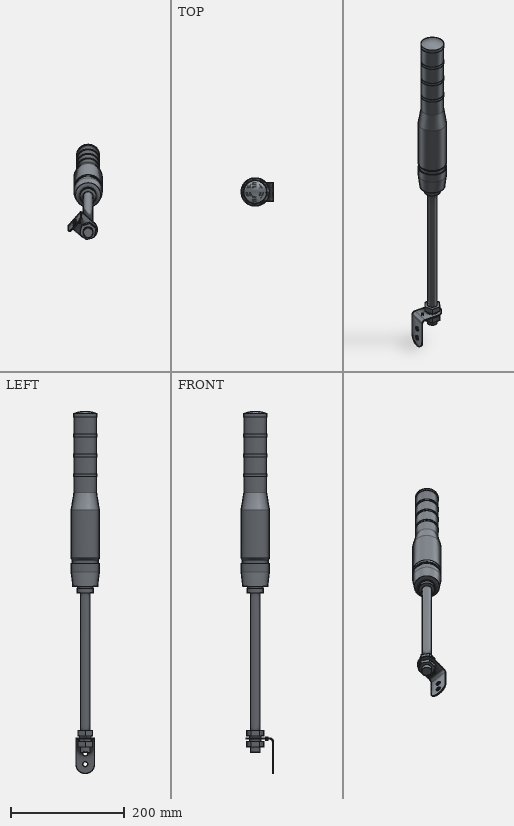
import cadquery as cq
import math

TOTAL_HEIGHT = 637.2

LENS_RADIUS = 20.0
RING_RADIUS = 20.3
DOME_HEIGHT = 4.0
CAP_RING_HEIGHT = 6.0
LENS_HEIGHT = 30.0
LENS_RING_HEIGHT = 5.0
LENS_RING_COUNT = 3
STACK_HEIGHT = 142.8
STACK_BOTTOM = TOTAL_HEIGHT - STACK_HEIGHT

BODY_RADIUS = 25.0
SHOULDER_HEIGHT = 30.6
BODY_HEIGHT = 84.4
GROOVE_RADIUS = 23.2
GROOVE_CHAMFER_HEIGHT = 3.3
GROOVE_HEIGHT = 6.4
SKIRT_HEIGHT = 15.3
TAPER_HEIGHT = 25.0
TAPER_BOTTOM_RADIUS = 22.0

COLLAR_RADIUS = 14.3
COLLAR_NECK_RADIUS = 14.0
COLLAR_NECK_HEIGHT = 4.0
COLLAR_HEIGHT = 11.5
POLE_RADIUS = 8.5
POLE_BOTTOM = 37.5

PLATE_THICKNESS = 2.0
PLATE_WIDTH = 33.0
PLATE_MIDDLE = 61.5
LEG_OUTER_X = 32.0
BEND_OUTER_RADIUS = 6.5
MOUNT_HOLE_DIAMETER = 8.5
MOUNT_HOLE_PITCH = 19.0

NUT_ACROSS_FLATS = 26.0
NUT_HEIGHT = 9.5
NUT_GAP = 10.0
BUSHING_RADIUS = 10.5

PIN_X = 20.3
PIN_RADIUS = 2.0
PIN_LENGTH = 5.8


def cylinder(radius, bottom, top):
    return cq.Workplane("XY").workplane(offset=bottom).circle(radius).extrude(top - bottom)


def make_lens_stack():
    dome_base = TOTAL_HEIGHT - DOME_HEIGHT
    dome_radius = (RING_RADIUS**2 + DOME_HEIGHT**2) / (2 * DOME_HEIGHT)
    half_angle = math.asin(RING_RADIUS / dome_radius) / 2
    dome_middle = (
        dome_radius * math.sin(half_angle),
        TOTAL_HEIGHT - dome_radius * (1 - math.cos(half_angle)),
    )
    cap_bottom = dome_base - CAP_RING_HEIGHT
    cap = (
        cq.Workplane("XZ")
        .moveTo(0, cap_bottom)
        .lineTo(RING_RADIUS, cap_bottom)
        .lineTo(RING_RADIUS, dome_base)
        .threePointArc(dome_middle, (0, TOTAL_HEIGHT))
        .close()
        .revolve(360, (0, 0, 0), (0, 1, 0))
    )
    stack = cap.union(cylinder(LENS_RADIUS, STACK_BOTTOM, cap_bottom))
    for index in range(LENS_RING_COUNT):
        ring_top = cap_bottom - LENS_HEIGHT - index * (LENS_HEIGHT + LENS_RING_HEIGHT)
        stack = stack.union(cylinder(RING_RADIUS, ring_top - LENS_RING_HEIGHT, ring_top))
    return stack


def make_housing():
    body_top = STACK_BOTTOM - SHOULDER_HEIGHT
    groove_top = body_top - BODY_HEIGHT
    chamfer_bottom = groove_top - GROOVE_CHAMFER_HEIGHT
    skirt_top = chamfer_bottom - GROOVE_HEIGHT
    taper_top = skirt_top - SKIRT_HEIGHT
    taper_bottom = taper_top - TAPER_HEIGHT
    neck_bottom = taper_bottom - COLLAR_NECK_HEIGHT
    collar_bottom = taper_bottom - COLLAR_HEIGHT
    return (
        cq.Workplane("XZ")
        .moveTo(0, STACK_BOTTOM)
        .lineTo(LENS_RADIUS, STACK_BOTTOM)
        .lineTo(BODY_RADIUS, body_top)
        .lineTo(BODY_RADIUS, groove_top)
        .lineTo(GROOVE_RADIUS, chamfer_bottom)
        .lineTo(GROOVE_RADIUS, skirt_top)
        .lineTo(BODY_RADIUS, skirt_top)
        .lineTo(BODY_RADIUS, taper_top)
        .lineTo(TAPER_BOTTOM_RADIUS, taper_bottom)
        .lineTo(COLLAR_NECK_RADIUS, taper_bottom)
        .lineTo(COLLAR_NECK_RADIUS, neck_bottom)
        .lineTo(COLLAR_RADIUS, neck_bottom)
        .lineTo(COLLAR_RADIUS, collar_bottom)
        .lineTo(0, collar_bottom)
        .close()
        .revolve(360, (0, 0, 0), (0, 1, 0))
    )


def make_bracket():
    end_radius = PLATE_WIDTH / 2
    plate_bottom = PLATE_MIDDLE - PLATE_THICKNESS / 2
    plate_top = PLATE_MIDDLE + PLATE_THICKNESS / 2
    leg_inner_x = LEG_OUTER_X - PLATE_THICKNESS
    plate = (
        cq.Workplane("XY")
        .workplane(offset=plate_bottom)
        .moveTo(LEG_OUTER_X, -end_radius)
        .lineTo(0, -end_radius)
        .threePointArc((-end_radius, 0), (0, end_radius))
        .lineTo(LEG_OUTER_X, end_radius)
        .close()
        .extrude(PLATE_THICKNESS)
    )
    leg = (
        cq.Workplane("YZ")
        .workplane(offset=leg_inner_x)
        .moveTo(-end_radius, plate_top)
        .lineTo(-end_radius, end_radius)
        .threePointArc((0, 0), (end_radius, end_radius))
        .lineTo(end_radius, plate_top)
        .close()
        .extrude(PLATE_THICKNESS)
    )
    bracket = plate.union(leg)
    bracket = bracket.edges("|Y and >X and >Z").fillet(BEND_OUTER_RADIUS)
    inner_edge = cq.selectors.NearestToPointSelector((leg_inner_x, 0, plate_bottom))
    bracket = bracket.edges("|Y").edges(inner_edge).fillet(BEND_OUTER_RADIUS - PLATE_THICKNESS)
    holes = (
        cq.Workplane("YZ")
        .pushPoints([(0, end_radius), (0, end_radius + MOUNT_HOLE_PITCH)])
        .circle(MOUNT_HOLE_DIAMETER / 2)
        .extrude(LEG_OUTER_X)
    )
    pin = cylinder(PIN_RADIUS, PLATE_MIDDLE - PIN_LENGTH / 2, PLATE_MIDDLE + PIN_LENGTH / 2)
    return bracket.cut(holes).union(pin.translate((PIN_X, 0, 0)))


def make_nut(bottom):
    across_corners = NUT_ACROSS_FLATS / math.cos(math.pi / 6)
    return cq.Workplane("XY").workplane(offset=bottom).polygon(6, across_corners).extrude(NUT_HEIGHT)


def make_clamp():
    gap_bottom = PLATE_MIDDLE - NUT_GAP / 2
    gap_top = PLATE_MIDDLE + NUT_GAP / 2
    bushing = cylinder(BUSHING_RADIUS, gap_bottom, gap_top)
    return bushing.union(make_nut(gap_top)).union(make_nut(gap_bottom - NUT_HEIGHT))


pole = cylinder(POLE_RADIUS, POLE_BOTTOM, STACK_BOTTOM)
result = make_bracket().union(pole).union(make_clamp()).union(make_housing()).union(make_lens_stack())